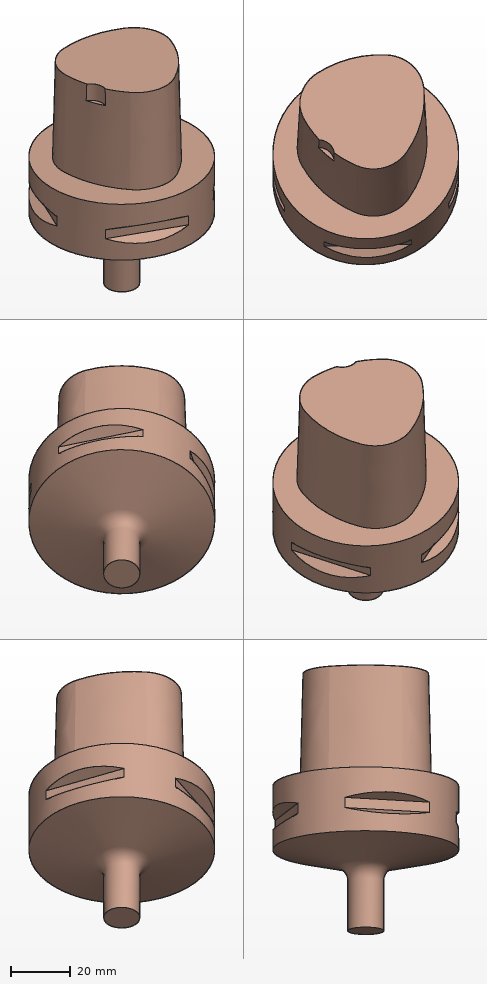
import cadquery as cq
import math

total_height = 88
taper_height = 37.9
flange_height = 22.1
shoulder_z = total_height - taper_height
flange_base_z = shoulder_z - flange_height

flange_radius = 63.0 / 2
pin_radius = 12.2 / 2
neck_fillet = 5.0
cone_angle = math.radians(15)

lobe_reach = 23.5
flank_reach = 20.2
lobe_radius = 14.3
taper_ratio = 1 / 40

groove_floor_distance = 27.8
groove_floor_half_width = 1.8
groove_center_z = 37.9
groove_wall_angle = math.radians(28)
groove_overcut = 0.9

notch_radius = 5.5
notch_apex_y = -17.9
notch_depth = 6.5


def polar(radius, degrees):
    angle = math.radians(degrees)
    return (radius * math.cos(angle), radius * math.sin(angle))


def make_body():
    """Flange, cone, neck fillet and pin as one turned body."""
    fillet_center_x = pin_radius + neck_fillet
    fillet_end_x = fillet_center_x - neck_fillet * math.sin(cone_angle)
    fillet_end_z = flange_base_z - (flange_radius - fillet_end_x) * math.tan(cone_angle)
    fillet_start_z = fillet_end_z - neck_fillet * math.cos(cone_angle)
    return (
        cq.Workplane("XZ")
        .lineTo(pin_radius, 0)
        .lineTo(pin_radius, fillet_start_z)
        .tangentArcPoint((fillet_end_x, fillet_end_z), relative=False)
        .lineTo(flange_radius, flange_base_z)
        .lineTo(flange_radius, shoulder_z)
        .lineTo(0, shoulder_z)
        .close()
        .revolve(360, (0, 0, 0), (0, 1, 0))
    )


def add_shank_section(workplane, inset):
    """Three lobe arcs joined by three tangent flank arcs, all moved inward by inset."""
    lobe_center = lobe_reach - lobe_radius
    reach_gap = flank_reach - lobe_radius
    flank_center = (lobe_center**2 - reach_gap**2) / (2 * reach_gap - lobe_center)
    flank_radius = flank_center + flank_reach
    half_span = math.asin(lobe_center * math.sin(math.radians(60)) / (flank_radius - lobe_radius))
    joint_x = (flank_radius - inset) * math.sin(half_span)
    joint_y = (flank_radius - inset) * math.cos(half_span) - flank_center
    joint_radius = math.hypot(joint_x, joint_y)
    joint_offset = math.degrees(math.atan2(joint_x, joint_y))

    section = workplane.moveTo(*polar(joint_radius, -90 - joint_offset))
    for flank_angle in (-90, 30, 150):
        flank_end = polar(joint_radius, flank_angle + joint_offset)
        lobe_end = polar(joint_radius, flank_angle + 120 - joint_offset)
        section = section.threePointArc(polar(flank_reach - inset, flank_angle), flank_end)
        section = section.threePointArc(polar(lobe_reach - inset, flank_angle + 60), lobe_end)
    return section.close()


def make_shank():
    base = add_shank_section(cq.Workplane("XY").workplane(offset=shoulder_z), 0)
    top_plane = base.workplane(offset=taper_height)
    return add_shank_section(top_plane, taper_height * taper_ratio).loft(ruled=True)


def make_groove(angle):
    """Straight trapezoidal cutter with its floor square to the given direction."""
    mouth_distance = flange_radius + groove_overcut
    wall_rise = (mouth_distance - groove_floor_distance) * math.tan(groove_wall_angle)
    mouth_half_width = groove_floor_half_width + wall_rise
    return (
        cq.Workplane("XZ")
        .moveTo(groove_floor_distance, groove_center_z - groove_floor_half_width)
        .lineTo(mouth_distance, groove_center_z - mouth_half_width)
        .lineTo(mouth_distance, groove_center_z + mouth_half_width)
        .lineTo(groove_floor_distance, groove_center_z + groove_floor_half_width)
        .close()
        .extrude(flange_radius, both=True)
        .rotate((0, 0, 0), (0, 0, 1), angle)
    )


def make_notch():
    """Upright round cutter that scallops the top edge of the flank."""
    return (
        cq.Workplane("XY")
        .workplane(offset=total_height - notch_depth)
        .center(0, notch_apex_y - notch_radius)
        .circle(notch_radius)
        .extrude(notch_depth)
    )


result = make_body().union(make_shank())
for groove_angle in (45, 135, 225, 315):
    result = result.cut(make_groove(groove_angle))
result = result.cut(make_notch())